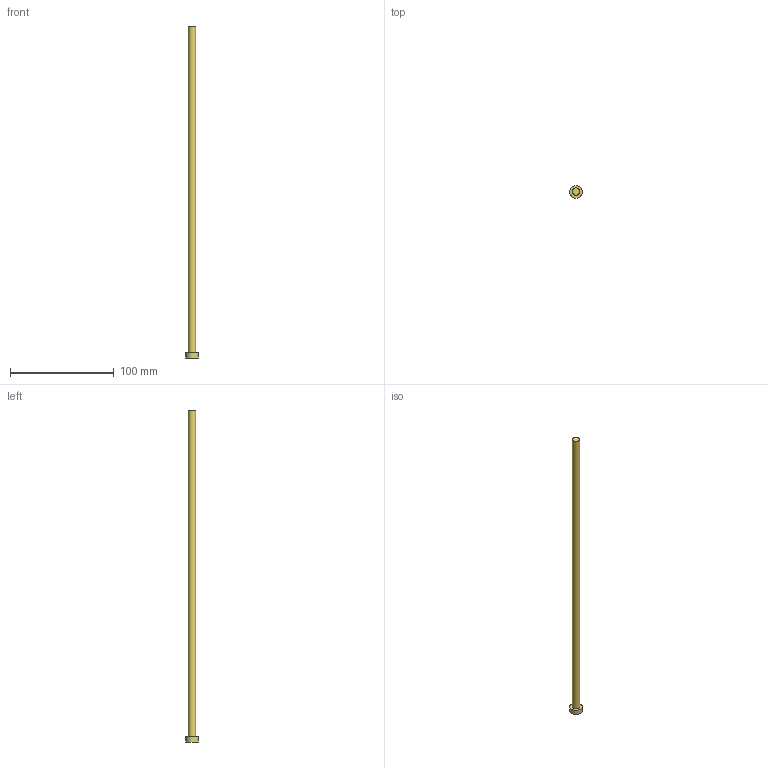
import cadquery as cq

total_length = 320.0
head_diameter = 12.0
head_height = 5.0
shank_diameter = 7.0
shank_length = total_length - head_height


def make_head():
    """Round head standing on the XY plane."""
    return cq.Workplane("XY").circle(head_diameter / 2).extrude(head_height)


def make_shank():
    """Plain round shank rising from the top of the head."""
    return (
        cq.Workplane("XY")
        .workplane(offset=head_height)
        .circle(shank_diameter / 2)
        .extrude(shank_length)
    )


result = make_head().union(make_shank())